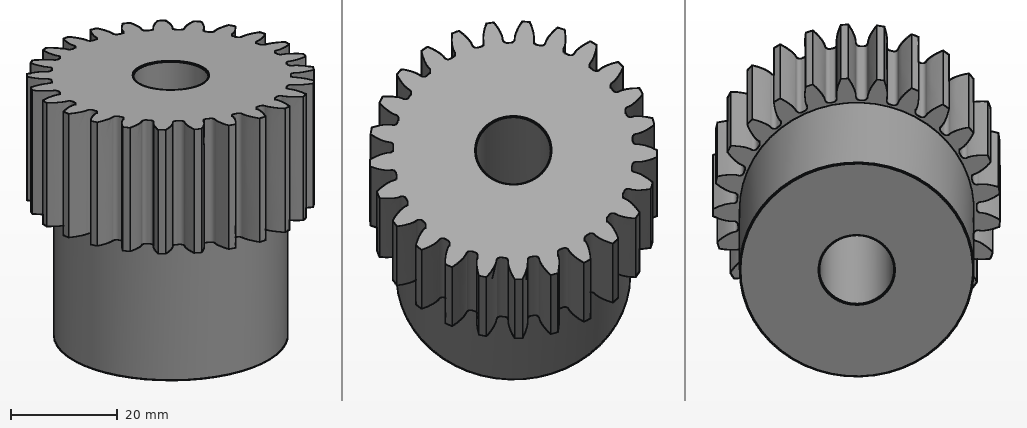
import cadquery as cq
import math

overall_width = 53.95
overall_height = 53.0
gear_height = 25.1
hub_height = overall_height - gear_height
hub_diameter = 44.0
bore_diameter = 14.0
bore_chamfer = 0.2
hub_chamfer = 0.2
root_fillet = 0.8

tooth_count = 25
pressure_angle = math.radians(20)
addendum_factor = 1.0
dedendum_factor = 1.25
flank_points = 8
tooth_pitch = 2 * math.pi / tooth_count
first_tooth_angle = -math.pi / 2


def involute(angle):
    """Involute function of a pressure angle."""
    return math.tan(angle) - angle


base_per_module = tooth_count / 2 * math.cos(pressure_angle)
tip_per_module = tooth_count / 2 + addendum_factor
tip_pressure_angle = math.acos(base_per_module / tip_per_module)
base_half_angle = tooth_pitch / 4 + involute(pressure_angle)
tip_half_angle = base_half_angle - involute(tip_pressure_angle)

tip_corner_angle = tooth_pitch / 4 - tip_half_angle
tip_radius = overall_width / 2 / math.cos(tip_corner_angle)
module = tip_radius / tip_per_module
base_radius = module * base_per_module
root_radius = module * (tooth_count / 2 - dedendum_factor)


def polar(radius, angle):
    """X and Y of a point at a radius and angle about the gear axis."""
    return (radius * math.cos(angle), radius * math.sin(angle))


def flank(tooth_angle, side):
    """Points up one involute flank, from base circle to tip; side is -1 or +1."""
    points = []
    tip_roll = math.tan(tip_pressure_angle)
    for step in range(flank_points):
        roll = tip_roll * step / (flank_points - 1)
        radius = base_radius * math.hypot(1, roll)
        half_angle = base_half_angle - (roll - math.atan(roll))
        points.append(polar(radius, tooth_angle + side * half_angle))
    return points


def gear_outline():
    """Closed outline: radial foot, flank, tip arc, flank, radial foot and root arc for every tooth."""
    outline = cq.Workplane("XY").moveTo(*polar(root_radius, first_tooth_angle - base_half_angle))
    for tooth in range(tooth_count):
        centre = first_tooth_angle + tooth * tooth_pitch
        rising = flank(centre, -1)
        falling = flank(centre, 1)[::-1]
        outline = outline.lineTo(*rising[0])
        outline = outline.spline(rising[1:], includeCurrent=True)
        outline = outline.threePointArc(polar(tip_radius, centre), falling[0])
        outline = outline.spline(falling[1:], includeCurrent=True)
        outline = outline.lineTo(*polar(root_radius, centre + base_half_angle))
        gap_middle = polar(root_radius, centre + tooth_pitch / 2)
        next_foot = polar(root_radius, centre + tooth_pitch - base_half_angle)
        outline = outline.threePointArc(gap_middle, next_foot)
    return outline.close()


def is_root_corner(edge):
    """True for an upright edge at the bottom of a tooth gap, inside the base circle."""
    centre = edge.Center()
    return math.hypot(centre.x, centre.y) < (root_radius + base_radius) / 2


gear = gear_outline().extrude(gear_height)
gear = gear.edges("|Z").filter(is_root_corner).fillet(root_fillet)
gear = gear.translate((0, 0, hub_height))

hub = cq.Workplane("XY").circle(hub_diameter / 2).extrude(hub_height)
hub = hub.faces("<Z").edges().chamfer(hub_chamfer)

bore = cq.Workplane("XY").circle(bore_diameter / 2).extrude(overall_height)
mouth = (
    cq.Workplane("XY", origin=(0, 0, overall_height))
    .circle(bore_diameter / 2 + bore_chamfer)
    .workplane(offset=-bore_chamfer)
    .circle(bore_diameter / 2)
    .loft()
)
opposite_mouth = mouth.mirror("XY", (0, 0, overall_height / 2))

result = hub.union(gear).cut(bore).cut(mouth).cut(opposite_mouth)